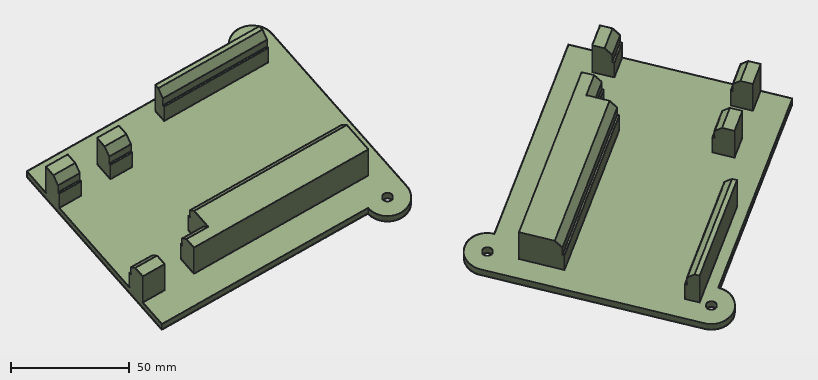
import cadquery as cq

LEFT = -1
RIGHT = 1

PLATE_WIDTH = 98.63
PLATE_LENGTH = 126.23
PLATE_THICKNESS = 3.95

LUG_RADIUS = 10.0
SCREW_HOLE_DIAMETER = 4.5
SCREW_Y = PLATE_LENGTH - LUG_RADIUS

TOP_Z = 22.19
LEDGE_Z = 14.0
LEDGE_WIDTH = 0.9
CHAMFER = 3.4

CLIP_OUTER_X = 35.4
CLIP_WIDTH = 9.8
CLIP_LENGTH = 11.25
CLIP_GAP = 15.1
REAR_CLIP_Y = CLIP_LENGTH + CLIP_GAP
REAR_CLIP_END_Y = REAR_CLIP_Y + CLIP_LENGTH

BLOCK_WIDTH = 20.05

WALL_OUTER_X = 44.15
WALL_WIDTH = 6.5
WALL_LENGTH = 53.7
WALL_Y = SCREW_Y - WALL_LENGTH


def base_plate():
    """Rectangular plate with a round lug and a screw hole at each rear corner."""
    base = cq.Workplane("XY")
    plate = base.box(PLATE_WIDTH, PLATE_LENGTH, PLATE_THICKNESS, centered=(True, False, False))
    screw_points = [(side * PLATE_WIDTH / 2, SCREW_Y) for side in (LEFT, RIGHT)]
    lugs = base.pushPoints(screw_points).circle(LUG_RADIUS).extrude(PLATE_THICKNESS)
    holes = base.pushPoints(screw_points).circle(SCREW_HOLE_DIAMETER / 2).extrude(PLATE_THICKNESS)
    return plate.union(lugs).cut(holes)


def upright(side, outer_x, width, start_y, end_y):
    """Stepped and chamfered upright on the LEFT or RIGHT of the plate, its ledge facing the middle."""
    inner_x = outer_x - width
    face_x = inner_x + LEDGE_WIDTH
    section = [
        (outer_x, 0),
        (outer_x, TOP_Z),
        (face_x + CHAMFER, TOP_Z),
        (face_x, TOP_Z - CHAMFER),
        (face_x, LEDGE_Z),
        (inner_x, LEDGE_Z),
        (inner_x, 0),
    ]
    points = [(side * x, z) for x, z in section]
    profile = cq.Workplane("XZ", origin=(0, start_y, 0)).polyline(points).close()
    return profile.extrude(start_y - end_y)


def clips():
    """Front and rear clips on both sides of the plate."""
    row = cq.Workplane("XY")
    for side in (LEFT, RIGHT):
        for start_y in (0, REAR_CLIP_Y):
            row = row.add(upright(side, CLIP_OUTER_X, CLIP_WIDTH, start_y, start_y + CLIP_LENGTH))
    return row.combine()


def long_block():
    """Wide block that runs from the rear right clip to the line of the screw holes."""
    return upright(RIGHT, CLIP_OUTER_X, BLOCK_WIDTH, REAR_CLIP_END_Y, SCREW_Y)


def side_wall():
    """Thin wall along the left side, ending on the line of the screw holes."""
    return upright(LEFT, WALL_OUTER_X, WALL_WIDTH, WALL_Y, SCREW_Y)


result = base_plate().union(clips()).union(long_block()).union(side_wall())